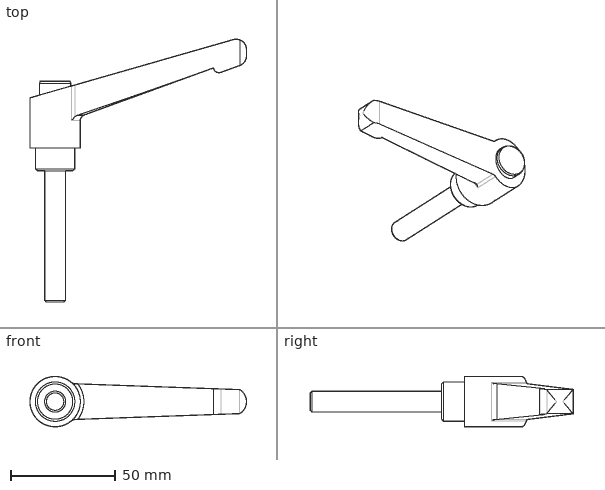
import cadquery as cq
import math


hub_radius = 12.1
cap_radius = 7.6
cap_top = 32.1
cap_edge_drop = 1.1
cap_edge_inset = 0.4
sleeve_radius = 9.5
sleeve_length = 11.0
sleeve_chamfer = 1.0
rod_radius = 5.0
rod_chamfer = 0.9
overall_length = 126.4

arm_top_y = 52.3
arm_end_x = 92.0
tip_corner_radius = 5.0
top_slope = math.tan(math.radians(16))
under_angle = math.radians(20)
lobe_radius = 2.8
lobe_center_x, lobe_center_y = 78.7, 38.9
notch_x, notch_y = 76.1, 38.4

root_half_width = 9.0
tip_half_width = 5.8
tip_round_start_x = 88.7
side_fillet = 2.9

flare_radius = 2.8
flare_start_y = 13.1
flare_overlap = 0.6
flare_lean = math.radians(23)
belly_sag = 1.4
belly_half_width = 9.6
belly_start_x = 8.8

corner_center_x = arm_end_x - tip_corner_radius
corner_center_y = arm_top_y - tip_corner_radius
top_angle = math.atan(top_slope)
top_tangent_x = corner_center_x - tip_corner_radius * math.sin(top_angle)
top_tangent_y = corner_center_y + tip_corner_radius * math.cos(top_angle)
flare_center_x = hub_radius + flare_radius
flare_outer_radius = flare_center_x - flare_radius * math.sin(flare_lean)
flare_top_y = flare_start_y + flare_radius * math.cos(flare_lean)
under_slope = math.tan(under_angle)
rod_end_y = arm_top_y - overall_length
clearance = 25.3


def top_height(x):
    """Height of the sloped top face at x."""
    return top_tangent_y - (top_tangent_x - x) * top_slope


def under_height(x):
    """Height of the arm's underside at x, on its centre line."""
    return notch_y - (notch_x - x) * under_slope


def turned(radius, start_y, end_y):
    """Cylinder about the Y axis."""
    disc = cq.Workplane("XZ", origin=(0, start_y, 0)).circle(radius)
    return disc.extrude(start_y - end_y)


def plan_block():
    """Round hub and tapered arm as seen along Y, with blended sides and a rounded tip."""
    arm = (
        cq.Workplane("XY")
        .moveTo(0, -root_half_width)
        .lineTo(tip_round_start_x, -tip_half_width)
        .threePointArc((arm_end_x, 0), (tip_round_start_x, tip_half_width))
        .lineTo(0, root_half_width)
        .close()
        .extrude(arm_top_y)
    )
    hub = cq.Workplane("XY").circle(hub_radius).extrude(arm_top_y)
    corners = cq.selectors.BoxSelector(
        (hub_radius / 2, -hub_radius, 0), (hub_radius, hub_radius, arm_top_y)
    )
    block = hub.union(arm).edges("|Z").edges(corners).fillet(side_fillet)
    return block.rotate((0, 0, 0), (1, 0, 0), -90)


def arm_profile():
    """Arm outline seen along Z, with the thumb lobe and the rounded tip."""
    lobe_end_x = lobe_center_x + lobe_radius * math.sin(under_angle)
    lobe_end_y = lobe_center_y - lobe_radius * math.cos(under_angle)
    tip_low_y = lobe_end_y + (arm_end_x - lobe_end_x) * math.tan(under_angle)
    lobe_bend = math.radians(-110)
    outline = (
        cq.Workplane("XY", origin=(0, 0, -clearance / 2))
        .moveTo(0, under_height(0))
        .lineTo(notch_x, notch_y)
        .threePointArc(
            (
                lobe_center_x + lobe_radius * math.cos(lobe_bend),
                lobe_center_y + lobe_radius * math.sin(lobe_bend),
            ),
            (lobe_end_x, lobe_end_y),
        )
        .lineTo(arm_end_x, tip_low_y)
        .lineTo(arm_end_x, top_height(arm_end_x))
        .lineTo(0, top_height(0))
        .close()
    )
    return outline.extrude(clearance).edges("|Z and >X").fillet(tip_corner_radius)


def belly_cutter():
    """Space under the arm: arched at the hub, fading to flat at the notch."""
    root_y = under_height(belly_start_x)
    root = (
        cq.Workplane("YZ", origin=(belly_start_x, 0, 0))
        .moveTo(root_y - clearance, -belly_half_width)
        .lineTo(root_y + belly_sag, -belly_half_width)
        .threePointArc((root_y, 0), (root_y + belly_sag, belly_half_width))
        .lineTo(root_y - clearance, belly_half_width)
        .close()
    )
    notch = (
        root.workplane(offset=notch_x - belly_start_x)
        .moveTo(notch_y - clearance, -belly_half_width)
        .lineTo(notch_y, -belly_half_width)
        .lineTo(notch_y, belly_half_width)
        .lineTo(notch_y - clearance, belly_half_width)
        .close()
    )
    return notch.loft(ruled=True)


def flare():
    """Concave ring blending the hub into the arm's underside."""
    mid_angle = (math.radians(180) + math.radians(90) + flare_lean) / 2
    return (
        cq.Workplane("XY")
        .moveTo(0, flare_start_y)
        .lineTo(hub_radius, flare_start_y)
        .threePointArc(
            (
                flare_center_x + flare_radius * math.cos(mid_angle),
                flare_start_y + flare_radius * math.sin(mid_angle),
            ),
            (flare_outer_radius, flare_top_y),
        )
        .lineTo(flare_outer_radius, flare_top_y + flare_overlap)
        .lineTo(0, flare_top_y + flare_overlap)
        .close()
        .revolve(360, (0, 0, 0), (0, 1, 0))
    )


def hub():
    """Round hub with its top cut along the slope of the arm."""
    above = (
        cq.Workplane("XY", origin=(0, 0, -clearance / 2))
        .moveTo(-clearance, top_height(-clearance))
        .lineTo(clearance, top_height(clearance))
        .lineTo(clearance, arm_top_y)
        .lineTo(-clearance, arm_top_y)
        .close()
        .extrude(clearance)
    )
    return turned(hub_radius, 0, arm_top_y).cut(above)


def cap():
    """Screw cap standing out of the hub's sloped top."""
    body = turned(cap_radius, 0, cap_top)
    return body.faces(">Y").edges().chamfer(cap_edge_drop, cap_edge_inset)


plan = plan_block()
arm = arm_profile().cut(belly_cutter()).intersect(plan)
hub_flare = flare().intersect(plan)
sleeve = turned(sleeve_radius, 0, -sleeve_length).faces("<Y").edges().chamfer(sleeve_chamfer)
rod = turned(rod_radius, 0, rod_end_y).faces("<Y").edges().chamfer(rod_chamfer)

result = hub().union(arm).union(hub_flare).union(cap()).union(sleeve).union(rod)